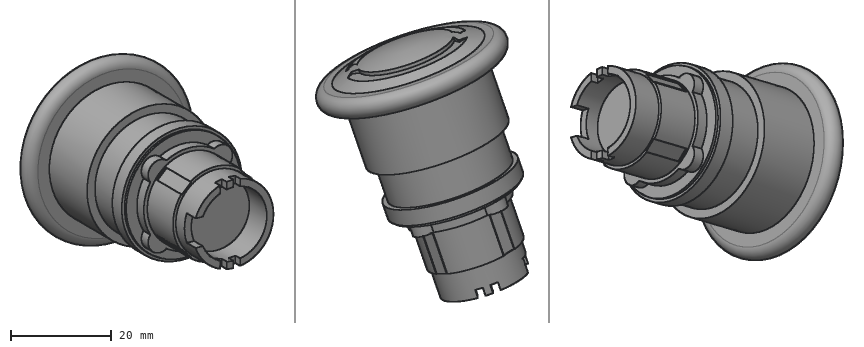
import cadquery as cq
import math

LENGTH = 51.9
RIM_FRONT = 3.25
RIM_WIDTH = 4.45
BODY_END = 21.55
WAIST_END = 29.6
FLANGE_END = 33.0
STEP_END = 33.65
NECK_END = 36.1
TUBE_END = 45.5

RIM_RADIUS = 20.01
DOME_EDGE_RADIUS = 16.0
BODY_RADIUS = 15.0
WAIST_RADIUS = 13.15
FLANGE_RADIUS = 14.2
STEP_RADIUS = 13.55
NECK_RADIUS = 11.0
TUBE_RADIUS = 10.15
END_RADIUS = 9.5
BORE_RADIUS = 7.9

ARROW_INNER_RADIUS = 10.1
ARROW_OUTER_RADIUS = 12.75
ARROW_MIDDLE_RADIUS = 11.5
POINT_EDGE_ANGLE = 164.0
POINT_ANGLE = 172.0
TAIL_EDGE_ANGLE = 7.0
TAIL_NOTCH_ANGLE = 16.0

DIAGONALS = (45, 135, 225, 315)
BUMP_RADIUS = 2.75
BUMP_OFFSET = 7.2
FLAT_START = 36.55
FLAT_DISTANCE = 9.85
FLAT_WIDTH = 3.1
NOTCH_START = 48.7
NOTCH_WIDTH = 6.35
SLOT_START = 50.15
SLOT_WIDTH = 1.585
SLOT_CENTERS = (SLOT_WIDTH / 2, -1.5 * SLOT_WIDTH)

DOME_SPHERE_RADIUS = (RIM_FRONT**2 + DOME_EDGE_RADIUS**2) / (2 * RIM_FRONT)


def dome_depth(radius):
    """X position of the dome surface at a distance from the axis."""
    return DOME_SPHERE_RADIUS - math.sqrt(DOME_SPHERE_RADIUS**2 - radius**2)


def turned_body():
    half_rim = RIM_WIDTH / 2
    rim_center = RIM_FRONT + half_rim
    rim_back = RIM_FRONT + RIM_WIDTH
    rim_shoulder = RIM_RADIUS - half_rim
    dome_middle = DOME_EDGE_RADIUS / 2
    profile = (
        cq.Workplane("XY")
        .moveTo(0, 0)
        .threePointArc((dome_depth(dome_middle), dome_middle), (RIM_FRONT, DOME_EDGE_RADIUS))
        .lineTo(RIM_FRONT, rim_shoulder)
        .threePointArc((rim_center, RIM_RADIUS), (rim_back, rim_shoulder))
    )
    sections = (
        (BODY_RADIUS, BODY_END),
        (WAIST_RADIUS, WAIST_END),
        (FLANGE_RADIUS, FLANGE_END),
        (STEP_RADIUS, STEP_END),
        (NECK_RADIUS, NECK_END),
        (TUBE_RADIUS, TUBE_END),
        (END_RADIUS, LENGTH),
    )
    start = rim_back
    for radius, end in sections:
        profile = profile.lineTo(start, radius).lineTo(end, radius)
        start = end
    profile = profile.lineTo(LENGTH, BORE_RADIUS).lineTo(TUBE_END, BORE_RADIUS).lineTo(TUBE_END, 0)
    return profile.close().revolve(360, (0, 0, 0), (1, 0, 0))


def polar(radius, degrees):
    angle = math.radians(degrees)
    return radius * math.cos(angle), radius * math.sin(angle)


def arrow_recess():
    """Flat-floored curved arrow with a pointed head and a notched tail."""
    floor = dome_depth(ARROW_OUTER_RADIUS)
    return (
        cq.Workplane("YZ")
        .moveTo(*polar(ARROW_OUTER_RADIUS, TAIL_EDGE_ANGLE))
        .threePointArc(polar(ARROW_OUTER_RADIUS, 90), polar(ARROW_OUTER_RADIUS, POINT_EDGE_ANGLE))
        .lineTo(*polar(ARROW_MIDDLE_RADIUS, POINT_ANGLE))
        .lineTo(*polar(ARROW_INNER_RADIUS, POINT_EDGE_ANGLE))
        .threePointArc(polar(ARROW_INNER_RADIUS, 90), polar(ARROW_INNER_RADIUS, TAIL_EDGE_ANGLE))
        .lineTo(*polar(ARROW_MIDDLE_RADIUS, TAIL_NOTCH_ANGLE))
        .close()
        .extrude(floor)
    )


def neck_bump():
    center = BUMP_OFFSET * math.sqrt(2)
    return (
        cq.Workplane("YZ", origin=(STEP_END, 0, 0))
        .center(center, 0)
        .circle(BUMP_RADIUS)
        .extrude(NECK_END - STEP_END)
    )


def block(start, end, y_range, z_range):
    size = (end - start, y_range[1] - y_range[0], z_range[1] - z_range[0])
    return cq.Workplane("XY").box(*size, centered=False).translate((start, y_range[0], z_range[0]))


def around_axis(shape, degrees):
    return shape.rotate((0, 0, 0), (1, 0, 0), degrees)


result = turned_body()

for angle in (0, 180):
    result = result.cut(around_axis(arrow_recess(), angle))

tube_flat = block(
    FLAT_START, TUBE_END, (FLAT_DISTANCE, NECK_RADIUS), (-FLAT_WIDTH / 2, FLAT_WIDTH / 2)
)
for angle in DIAGONALS:
    result = result.union(around_axis(neck_bump(), angle))
    result = result.cut(around_axis(tube_flat, angle))

result = result.cut(
    block(NOTCH_START, LENGTH, (-TUBE_RADIUS, 0), (-NOTCH_WIDTH / 2, NOTCH_WIDTH / 2))
)

for slot_center in SLOT_CENTERS:
    slot_sides = (slot_center - SLOT_WIDTH / 2, slot_center + SLOT_WIDTH / 2)
    result = result.cut(block(SLOT_START, LENGTH, slot_sides, (-TUBE_RADIUS, TUBE_RADIUS)))